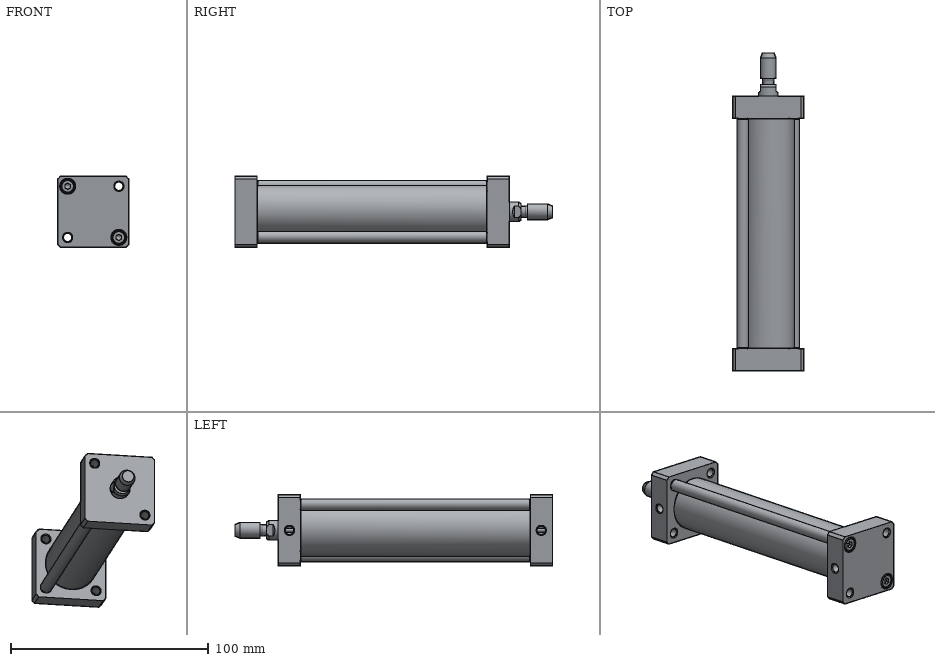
import cadquery as cq

total_length = 161.0
front_face_y = 139.1

cap_side = 36.0
cap_thickness = 11.3
cap_corner_chamfer = 1.5
front_cap_y = front_face_y - cap_thickness

corner_spacing = 26.0
corner = corner_spacing / 2
tie_rod_corners = [(-corner, corner), (corner, -corner)]
mounting_corners = [(corner, corner), (-corner, -corner)]

thread_core = 4.2
thread_mouth = 5.2
thread_chamfer = (thread_mouth - thread_core) / 2
port_inset = 5.8
port_depth = 6.5
port_cone_depth = 1.3
port_bar_diameter = 2.1
port_bar_depth = 6.8

tube_diameter = 26.5
tube_bore = 25.0
tube_end_chamfer = 0.3

tie_rod_diameter = 6.0
tie_rod_end_diameter = 4.8
tie_rod_end_length = 5.6
shoulder_gap = 0.5
head_diameter = 7.0
head_height = 4.8
head_chamfer = (head_diameter - tie_rod_diameter) / 2
socket_corner_diameter = 3.2
socket_depth = 1.6
socket_cone_depth = 0.8
counterbore_diameter = 7.5
counterbore_mouth = 8.0
counterbore_chamfer = (counterbore_mouth - counterbore_diameter) / 2

rod_diameter = 10.0
rod_visible_length = 6.0
rod_end_diameter = 8.4
rod_end_chamfer_length = 1.3
rod_end_y = front_face_y + rod_visible_length
wrench_flat_width = 8.0
wrench_flat_length = 3.4
wrench_flat_runout = (rod_diameter - wrench_flat_width) / 2
neck_diameter = 6.0
neck_root_diameter = 5.6
neck_straight_length = 0.8
thread_diameter = 8.0
thread_length = 12.9
thread_start_y = total_length - thread_length
tip_diameter = 6.0
tip_taper_length = 2.5

along_x = cq.Vector(1, 0, 0)
along_y = cq.Vector(0, 1, 0)


def cylinder(diameter, length, start, direction=along_y):
    return cq.Workplane(cq.Solid.makeCylinder(diameter / 2, length, cq.Vector(*start), direction))


def cone(start_diameter, end_diameter, length, start, direction=along_y):
    solid = cq.Solid.makeCone(start_diameter / 2, end_diameter / 2, length, cq.Vector(*start), direction)
    return cq.Workplane(solid)


def mounting_hole(x, z, y):
    """Through hole of a cap that starts at y, with a countersink at both ends."""
    far_chamfer_y = y + cap_thickness - thread_chamfer
    hole = cylinder(thread_core, cap_thickness, (x, y, z))
    hole = hole.union(cone(thread_mouth, thread_core, thread_chamfer, (x, y, z)))
    return hole.union(cone(thread_core, thread_mouth, thread_chamfer, (x, far_chamfer_y, z)))


def air_port(y):
    """Blind hole from the -X side with a countersunk mouth, a conical bottom and a bar across it."""
    side_x = -cap_side / 2
    bottom_x = side_x + port_depth
    port = cylinder(thread_core, port_depth, (side_x, y, 0), along_x)
    port = port.union(cone(thread_mouth, thread_core, thread_chamfer, (side_x, y, 0), along_x))
    port = port.union(cone(thread_core, 0, port_cone_depth, (bottom_x, y, 0), along_x))
    bar = cylinder(port_bar_diameter, 2 * thread_core, (side_x + port_bar_depth, y - thread_core, 0))
    return port.cut(bar)


def make_cap(start_y, port_y):
    """Square block with the holes that both caps share."""
    cap = cq.Workplane("XY").box(cap_side, cap_thickness, cap_side, centered=(True, False, True))
    cap = cap.edges("|Y").chamfer(cap_corner_chamfer).translate((0, start_y, 0))
    for x, z in mounting_corners:
        cap = cap.cut(mounting_hole(x, z, start_y))
    return cap.cut(air_port(port_y))


def make_rear_cap():
    """Cap with counterbored holes for the heads of the tie rods."""
    cap = make_cap(0, port_inset)
    for x, z in tie_rod_corners:
        cap = cap.cut(cylinder(tie_rod_end_diameter, cap_thickness, (x, 0, z)))
        cap = cap.cut(cylinder(counterbore_diameter, head_height, (x, 0, z)))
        cap = cap.cut(cone(counterbore_mouth, counterbore_diameter, counterbore_chamfer, (x, 0, z)))
    return cap


def make_front_cap():
    """Cap with blind seats for the tie rods and a guide bore for the piston rod."""
    cap = make_cap(front_cap_y, front_face_y - port_inset)
    for x, z in tie_rod_corners:
        cap = cap.cut(cylinder(tie_rod_end_diameter, tie_rod_end_length, (x, front_cap_y, z)))
    return cap.cut(cylinder(rod_diameter, cap_thickness, (0, front_cap_y, 0)))


def make_tube():
    """Plain tube between the caps with its outer end edges chamfered."""
    length = front_cap_y - cap_thickness
    start = (0, cap_thickness, 0)
    tube = cylinder(tube_diameter, length, start).edges().chamfer(tube_end_chamfer)
    return tube.cut(cylinder(tube_bore, length, start))


def make_tie_rod(x, z):
    """Thick rod with thin ends that enter the caps and a socket head in the rear cap."""
    shaft_y = cap_thickness + shoulder_gap
    shaft_length = front_cap_y - cap_thickness - 2 * shoulder_gap
    rod = cylinder(tie_rod_end_diameter, front_cap_y + tie_rod_end_length - head_height, (x, head_height, z))
    rod = rod.union(cylinder(tie_rod_diameter, shaft_length, (x, shaft_y, z)))
    head = cylinder(head_diameter, head_height, (x, 0, z)).faces("<Y").chamfer(head_chamfer)
    return rod.union(head).cut(make_socket(x, z))


def make_socket(x, z):
    """Hexagonal socket with two corners along Z and a conical bottom."""
    depth = socket_depth + socket_cone_depth
    hexagon = cq.Workplane("XZ").polygon(6, socket_corner_diameter).extrude(-depth)
    hexagon = hexagon.rotate((0, 0, 0), (0, 1, 0), 90).translate((x, 0, z))
    drill = cylinder(socket_corner_diameter, socket_depth, (x, 0, z))
    drill = drill.union(cone(socket_corner_diameter, 0, socket_cone_depth, (x, socket_depth, z)))
    return hexagon.intersect(drill)


def make_piston_rod():
    """Turned rod with a neck, a thread and a tapered tip, and two wrench flats facing -X and +X."""
    profile = [
        (0, front_cap_y),
        (rod_diameter / 2, front_cap_y),
        (rod_diameter / 2, rod_end_y - rod_end_chamfer_length),
        (rod_end_diameter / 2, rod_end_y),
        (neck_root_diameter / 2, rod_end_y),
        (neck_diameter / 2, thread_start_y - neck_straight_length),
        (neck_diameter / 2, thread_start_y),
        (thread_diameter / 2, thread_start_y),
        (thread_diameter / 2, total_length - tip_taper_length),
        (tip_diameter / 2, total_length),
        (0, total_length),
    ]
    rod = cq.Workplane("XY").polyline(profile).close().revolve(360, (0, 0, 0), (0, 1, 0))
    flat = make_wrench_flat()
    return rod.cut(flat).cut(flat.mirror("YZ"))


def make_wrench_flat():
    """Material removed for the +X flat: it runs out to the rod surface at 45 degrees."""
    flat_x = wrench_flat_width / 2
    outer_x = rod_diameter / 2
    flat_y = rod_end_y - wrench_flat_length
    outline = [
        (flat_x, rod_end_y),
        (flat_x, flat_y),
        (outer_x, flat_y - wrench_flat_runout),
        (outer_x, rod_end_y),
    ]
    return cq.Workplane("XY").polyline(outline).close().extrude(rod_diameter / 2, both=True)


rear_cap = make_rear_cap()
front_cap = make_front_cap()
tube = make_tube()
piston_rod = make_piston_rod()
tie_rods = [make_tie_rod(x, z) for x, z in tie_rod_corners]

result = cq.Compound.makeCompound([
    rear_cap.val(),
    front_cap.val(),
    tube.val(),
    piston_rod.val(),
    *[tie_rod.val() for tie_rod in tie_rods],
])